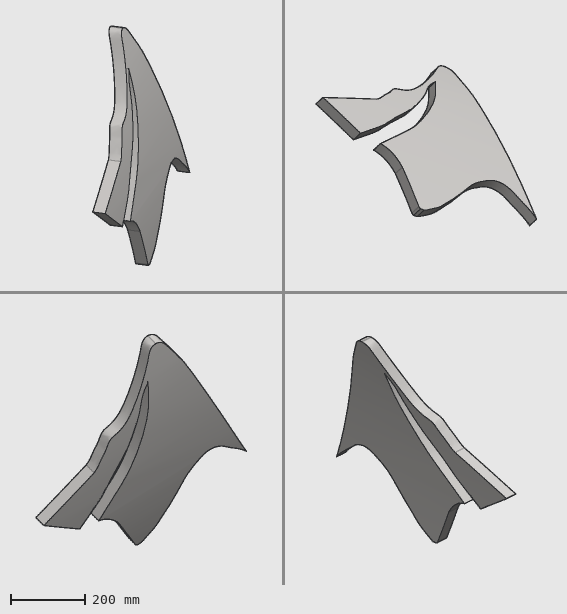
import cadquery as cq

WIDTH = 671.0
HEIGHT = 616.0
DEPTH = 161.0
THICKNESS = 35.5
MID_BULGE_X = 92.5
FOOT_X = DEPTH - THICKNESS

FRONT_TIP = (WIDTH, 117.0)
TAIL_TIP = (0.0, 272.5)
SLOT_END = (402.0, 524.0)
BODY_CORNER = (175.0, 178.5)

CROWN_AND_REAR_EDGE = [
    FRONT_TIP, (633.0, 219.0), (604.5, 300.0), (575.5, 380.5), (546.0, 461.5), (529.0, 507.0),
    (515.0, 539.0), (488.5, 587.0), (474.0, 608.0), (453.5, HEIGHT), (433.5, 608.0),
    (422.0, 591.0), (392.0, 542.0), (344.0, 480.0), (299.0, 439.0), (275.0, 429.0),
    (250.0, 420.5), (230.0, 397.0), (212.0, 378.5), (198.0, 361.5), (182.0, 348.0),
]
SLOT_TAIL_SIDE = [
    (112.0, 188.5), (151.0, 220.0), (194.0, 255.5), (236.0, 302.0), (301.0, 368.0), (333.5, 413.0),
    (359.5, 459.5), (376.0, 494.0), (390.0, 512.0), SLOT_END,
]
SLOT_BODY_SIDE = [
    SLOT_END, (396.0, 494.0), (388.0, 457.5), (372.0, 415.0), (339.5, 356.0),
    (289.0, 288.0), (236.0, 235.5), (204.5, 206.0), BODY_CORNER,
]
FOOT_NOTCH = [
    BODY_CORNER, (198.0, 170.0), (218.0, 154.0), (231.5, 138.0), (241.5, 122.0),
]
LOWER_EDGE = [
    (290.5, 5.5), (296.0, 0.0), (323.5, 9.0), (353.5, 28.0), (384.0, 58.0),
    (429.0, 107.5), (473.0, 160.0), (513.0, 188.0), (543.5, 200.5), (565.5, 200.5),
    (596.5, 186.5), (614.5, 170.5), (637.0, 152.0),
    FRONT_TIP,
]


def bent_plate():
    """Plate of constant X thickness following an arc from the crown to the foot."""
    return (
        cq.Workplane("XZ")
        .moveTo(0, HEIGHT)
        .threePointArc((MID_BULGE_X, HEIGHT / 2), (FOOT_X, 0))
        .lineTo(DEPTH, 0)
        .threePointArc((MID_BULGE_X + THICKNESS, HEIGHT / 2), (THICKNESS, HEIGHT))
        .close()
        .extrude(-WIDTH)
    )


def curve_through(sketch, points):
    """Continue the sketch from the first point with a smooth curve through the rest."""
    return sketch.spline(points[1:], includeCurrent=True)


def fin_outline():
    """Fin silhouette, with its open slot, as a block reaching through the plate."""
    sketch = cq.Workplane("YZ").moveTo(*FRONT_TIP)
    sketch = curve_through(sketch, CROWN_AND_REAR_EDGE)
    sketch = sketch.lineTo(*TAIL_TIP).lineTo(*SLOT_TAIL_SIDE[0])
    sketch = curve_through(sketch, SLOT_TAIL_SIDE)
    sketch = curve_through(sketch, SLOT_BODY_SIDE)
    sketch = curve_through(sketch, FOOT_NOTCH)
    sketch = sketch.lineTo(*LOWER_EDGE[0])
    sketch = curve_through(sketch, LOWER_EDGE)
    return sketch.close().extrude(DEPTH)


result = bent_plate().intersect(fin_outline())